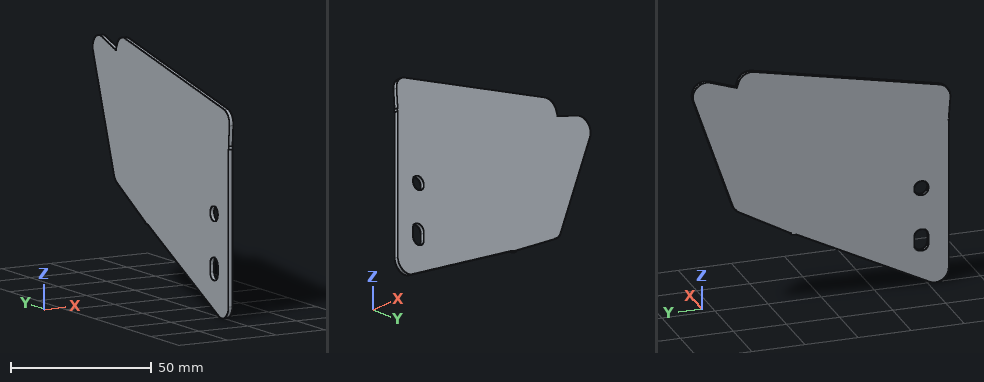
import cadquery as cq

thickness = 1.65
corner_radius = 5.0

bottom_corner = (0.0, -3.1)
top_front_corner = (-0.99, 75.07)
top_rear_corner = (77.9, 91.19)
notch_corner = (79.83, 85.0)
rear_tip = (99.42, 91.54)
rear_bottom_corner = (80.7, 37.88)

nib_top = (-0.05, 63.0)
nib_crest = (-0.25, 62.4)
nib_bottom = (0.0, 61.8)

step_start = (57.3, 25.44)
step_toe = (59.25, 25.65)
step_heel = (59.25, 26.12)

hole_diameter = 5.4
hole_setback = 10.3
hole_height = 37.0
slot_length = 8.3
slot_height = 17.0


def make_blank():
    """Plate with sharp corners; local x of the YZ workplane is Y and local y is Z."""
    return (
        cq.Workplane("YZ")
        .moveTo(*bottom_corner)
        .lineTo(*step_start)
        .lineTo(*step_toe)
        .lineTo(*step_heel)
        .lineTo(*rear_bottom_corner)
        .lineTo(*rear_tip)
        .lineTo(*notch_corner)
        .lineTo(*top_rear_corner)
        .lineTo(*top_front_corner)
        .lineTo(*nib_top)
        .threePointArc(nib_crest, nib_bottom)
        .close()
        .extrude(thickness)
    )


def round_corners(plate):
    """Round every large outer corner; the notch, nib and step stay sharp."""
    for y, z in (bottom_corner, rear_bottom_corner, rear_tip, top_rear_corner, top_front_corner):
        corner_edge = cq.selectors.NearestToPointSelector((thickness / 2, y, z))
        plate = plate.edges(corner_edge).fillet(corner_radius)
    return plate


def make_hole():
    """Cutter for the round hole through the plate."""
    return (
        cq.Workplane("YZ")
        .center(hole_setback, hole_height)
        .circle(hole_diameter / 2)
        .extrude(thickness)
    )


def make_slot():
    """Cutter for the slot, as wide as the round hole and long along Z."""
    return (
        cq.Workplane("YZ")
        .center(hole_setback, slot_height)
        .slot2D(slot_length, hole_diameter, angle=90)
        .extrude(thickness)
    )


result = round_corners(make_blank()).cut(make_hole()).cut(make_slot())